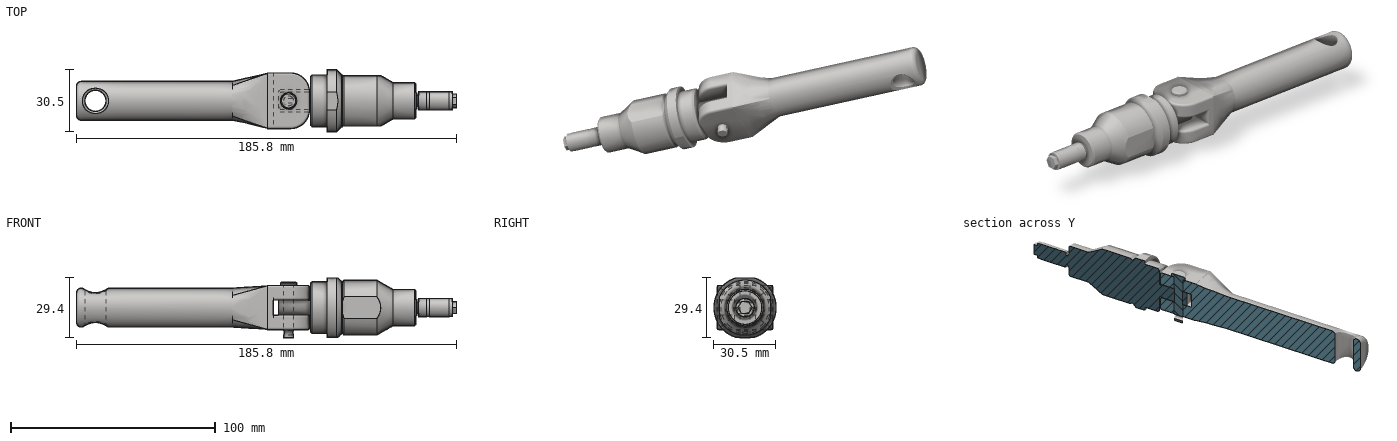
import cadquery as cq
import math


GRIP_DIAMETER = 19.1
GRIP_END_FILLET = 2.5
GRIP_LENGTH = 76.2
HANGING_HOLE_X = 9.3
HANGING_HOLE_DIAMETER = 10.2
HANGING_HOLE_CHAMFER = 1.3

FORK_START = 93.5
FORK_END = 113.9
FORK_WIDTH = 27.3
FORK_HEIGHT = 21.7
FORK_TIP_RADIUS = 9.3
FORK_EDGE_FILLET = 1.1
NECK_INSET = 0.2
SLOT_START = 96.2
SLOT_HEIGHT = 7.2

PIN_X = 103.7
PIN_DIAMETER = 4.8
PIN_PROTRUSION = 3.9
PIN_HEAD_DIAMETER = 8.0
PIN_HEAD_HEIGHT = 1.7
PIN_HEAD_CHAMFER = 0.5
COTTER_HOLE_DIAMETER = 2.2
COTTER_HOLE_Z = -12.3

TONGUE_START = 98.6
TONGUE_DIAMETER = 11.1
TONGUE_END_FILLET = 1.7

COLLAR_START = 114.3
COLLAR_DIAMETER = 25.5
COLLAR_CHAMFER = 1.0
FLANGE_START = 122.5
FLANGE_RIM_END = 127.0
FLANGE_DIAMETER = 30.5
FLANGE_FLATS = 29.2

BARREL_START = 130.0
BARREL_DIAMETER = 27.0
BARREL_FLATS = 24.7
BARREL_CONE_START = 146.8
CONE_ANGLE = 30.0
NOSE_DIAMETER = 17.8
NOSE_END = 165.9
NOSE_CHAMFER = 0.7
STEP_DIAMETER = 7.8
STEP_END = 166.5
STEM_DIAMETER = 5.5

PLUG_START = 167.2
PLUG_DIAMETER = 9.1
PLUG_RELIEF = 0.1
GROOVE_START = 171.0
GROOVE_END = 172.4
PLUG_END_START = 182.0
PLUG_END = 183.7
HEX_FLATS = 6.0
HEX_CORNERS = HEX_FLATS / math.cos(math.pi / 6)
TOTAL_LENGTH = 185.8


def rod_along_x(start, end, diameter):
    return cq.Workplane("YZ", origin=(start, 0, 0)).circle(diameter / 2).extrude(end - start)


def hinge_hole():
    return (
        cq.Workplane("XY", origin=(PIN_X, 0, -FORK_HEIGHT / 2))
        .circle(PIN_DIAMETER / 2)
        .extrude(FORK_HEIGHT)
    )


def box_between(start, end, width, height):
    return cq.Workplane("XY").box(end - start, width, height).translate(((start + end) / 2, 0, 0))


def grip():
    bar = rod_along_x(0, GRIP_LENGTH, GRIP_DIAMETER).faces("<X").edges().fillet(GRIP_END_FILLET)
    hole = (
        cq.Workplane("XY", origin=(HANGING_HOLE_X, 0, -GRIP_DIAMETER))
        .circle(HANGING_HOLE_DIAMETER / 2)
        .extrude(2 * GRIP_DIAMETER)
    )
    hole_radius = HANGING_HOLE_DIAMETER / 2
    hole_surroundings = cq.selectors.BoxSelector(
        (HANGING_HOLE_X - hole_radius, -hole_radius, -GRIP_DIAMETER),
        (HANGING_HOLE_X + hole_radius, hole_radius, GRIP_DIAMETER),
    )
    rims = bar.cut(hole).edges(hole_surroundings).edges("not |Z")
    return rims.chamfer(HANGING_HOLE_CHAMFER)


def neck():
    """Ruled transition from the round grip to the rectangular fork."""
    half_width = FORK_WIDTH / 2 - NECK_INSET
    half_height = FORK_HEIGHT / 2 - NECK_INSET
    radius = GRIP_DIAMETER / 2
    scale = radius / math.hypot(half_width, half_height)
    y = half_width * scale
    z = half_height * scale
    return (
        cq.Workplane("YZ", origin=(GRIP_LENGTH, 0, 0))
        .moveTo(-y, -z)
        .threePointArc((0, -radius), (y, -z))
        .threePointArc((radius, 0), (y, z))
        .threePointArc((0, radius), (-y, z))
        .threePointArc((-radius, 0), (-y, -z))
        .close()
        .workplane(offset=FORK_START - GRIP_LENGTH)
        .moveTo(-half_width, -half_height)
        .lineTo(half_width, -half_height)
        .lineTo(half_width, half_height)
        .lineTo(-half_width, half_height)
        .close()
        .loft(ruled=True)
    )


def fork():
    """Rounded block with an open slot; the edges of both prongs are filleted."""
    blank = box_between(FORK_START, FORK_END, FORK_WIDTH, FORK_HEIGHT)
    blank = blank.edges("|Z and >X").fillet(FORK_TIP_RADIUS)
    blank = blank.faces(">Z or <Z").edges("not <X").fillet(FORK_EDGE_FILLET)
    slotted = blank.cut(box_between(SLOT_START, FORK_END, FORK_WIDTH, SLOT_HEIGHT))
    slot_sides = slotted.faces("|Z").faces(">Z[1] or >Z[2]")
    return slot_sides.edges("not <X").fillet(FORK_EDGE_FILLET)


def make_handle():
    return grip().union(neck()).union(fork()).cut(hinge_hole())


def make_hinge_pin():
    head_bottom = FORK_HEIGHT / 2
    pin_bottom = -FORK_HEIGHT / 2 - PIN_PROTRUSION
    shank = (
        cq.Workplane("XY", origin=(PIN_X, 0, pin_bottom))
        .circle(PIN_DIAMETER / 2)
        .extrude(head_bottom - pin_bottom)
    )
    head = (
        cq.Workplane("XY", origin=(PIN_X, 0, head_bottom))
        .circle(PIN_HEAD_DIAMETER / 2)
        .extrude(PIN_HEAD_HEIGHT)
        .faces(">Z")
        .chamfer(PIN_HEAD_CHAMFER)
    )
    cotter_hole = rod_along_x(PIN_X - PIN_DIAMETER, PIN_X + PIN_DIAMETER, COTTER_HOLE_DIAMETER)
    return shank.union(head).cut(cotter_hole.translate((0, 0, COTTER_HOLE_Z)))


def tongue():
    bar = rod_along_x(TONGUE_START, COLLAR_START, TONGUE_DIAMETER)
    bar = bar.faces("<X").edges().fillet(TONGUE_END_FILLET)
    flats = box_between(TONGUE_START, COLLAR_START, TONGUE_DIAMETER, SLOT_HEIGHT)
    return bar.intersect(flats).cut(hinge_hole())


def collar():
    """Collar and flange; the flange falls at 45 degrees back to the collar diameter."""
    collar_radius = COLLAR_DIAMETER / 2
    flange_radius = FLANGE_DIAMETER / 2
    flange_end = FLANGE_RIM_END + flange_radius - collar_radius
    turned = (
        cq.Workplane("XY")
        .moveTo(COLLAR_START, 0)
        .lineTo(COLLAR_START, collar_radius - COLLAR_CHAMFER)
        .lineTo(COLLAR_START + COLLAR_CHAMFER, collar_radius)
        .lineTo(FLANGE_START, collar_radius)
        .lineTo(FLANGE_START, flange_radius)
        .lineTo(FLANGE_RIM_END, flange_radius)
        .lineTo(flange_end, collar_radius)
        .lineTo(BARREL_START, collar_radius)
        .lineTo(BARREL_START, 0)
        .close()
        .revolve(360, (0, 0, 0), (1, 0, 0))
    )
    return turned.intersect(box_between(COLLAR_START, BARREL_START, FLANGE_DIAMETER, FLANGE_FLATS))


def barrel():
    """Barrel with two flats and a cone down to the nose."""
    start_radius = COLLAR_DIAMETER / 2
    radius = BARREL_DIAMETER / 2
    nose_radius = NOSE_DIAMETER / 2
    cone_end = BARREL_CONE_START + (radius - nose_radius) / math.tan(math.radians(CONE_ANGLE))
    turned = (
        cq.Workplane("XY")
        .moveTo(BARREL_START, 0)
        .lineTo(BARREL_START, start_radius)
        .lineTo(BARREL_START + radius - start_radius, radius)
        .lineTo(BARREL_CONE_START, radius)
        .lineTo(cone_end, nose_radius)
        .lineTo(NOSE_END - NOSE_CHAMFER, nose_radius)
        .lineTo(NOSE_END, nose_radius - NOSE_CHAMFER)
        .lineTo(NOSE_END, 0)
        .close()
        .revolve(360, (0, 0, 0), (1, 0, 0))
    )
    return turned.intersect(box_between(BARREL_START, NOSE_END, BARREL_FLATS, BARREL_DIAMETER))


def plug():
    """Step and stem on the nose, then the plug with its groove, reduced end and hexagon."""
    relieved_diameter = PLUG_DIAMETER - 2 * PLUG_RELIEF
    step = rod_along_x(NOSE_END, STEP_END, STEP_DIAMETER)
    stem = rod_along_x(STEP_END, PLUG_START, STEM_DIAMETER)
    core = rod_along_x(PLUG_START, PLUG_END, relieved_diameter)
    front_land = rod_along_x(PLUG_START, GROOVE_START, PLUG_DIAMETER)
    main_land = rod_along_x(GROOVE_END, PLUG_END_START, PLUG_DIAMETER)
    hexagon = (
        cq.Workplane("YZ", origin=(PLUG_END, 0, 0))
        .polygon(6, HEX_CORNERS)
        .extrude(TOTAL_LENGTH - PLUG_END)
    )
    return core.union(front_land).union(main_land).union(stem).union(step).union(hexagon)


def make_coupling():
    return collar().union(tongue()).union(barrel()).union(plug())


handle = make_handle().solids()
hinge_pin = make_hinge_pin().solids()
coupling = make_coupling().solids()

result = cq.Compound.makeCompound([handle.val(), hinge_pin.val(), coupling.val()])